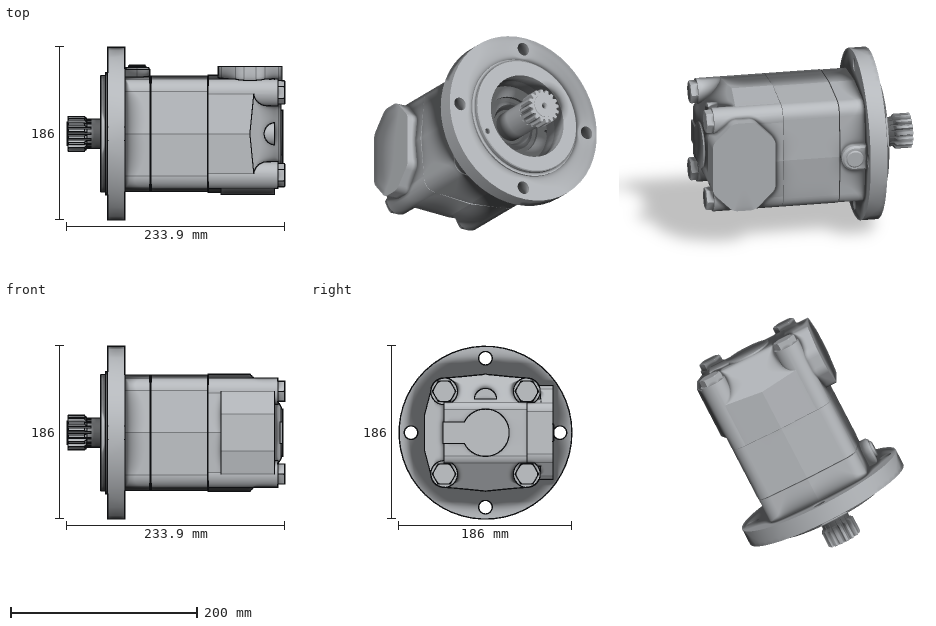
import cadquery as cq
import math


SHAFT_TIP = -43.5
SPLINE_START = -42.8
SPLINE_END = -25.0
SPLINE_CONE_END = -22.2
SPLINE_RUNOUT = -17.8
REGISTER_FACE = -8.0
RING_FACE = -2.0
FLANGE_BACK = 18.5
FRONT_END = 45.4
MIDDLE_START = 46.5
MIDDLE_END = 107.3
COVER_START = 107.8
PILLAR_END = 182.9
COVER_END = 186.4
CAP_END = 188.2
BOLT_END = 190.4

FLANGE_DIAMETER = 186.0
RING_RADIUS = 65.7
REGISTER_RADIUS = 62.7
REGISTER_CHAMFER = 1.0
MOUNT_HOLE_DIAMETER = 14.3
MOUNT_HOLE_CIRCLE = 80.0
MOUNT_HOLE_COUNT = 4
LOCATING_HOLE_DIAMETER = 6.0
LOCATING_HOLE_DEPTH = 4.7
REGISTER_HOLE_Y = 50.0
REGISTER_HOLE_Z = -27.8
FLOOR_HOLE_Y = -43.0

RECESS_RADIUS = 46.0
RECESS_FLOOR_RADIUS = 43.7
RECESS_STRAIGHT_DEPTH = 18.7
RECESS_DEPTH = 30.2
SEAL_SEAT_RADIUS = 31.8
SEAL_SEAT_DEPTH = 3.5
COLLAR_BASE_RADIUS = 27.4
COLLAR_RIM_RADIUS = 23.0
FUNNEL_RADIUS = 19.2
FUNNEL_DEPTH = 7.0

SHAFT_RADIUS = 16.0
TIP_RADIUS = 12.6
SPLINE_RADIUS = 19.0
SPLINE_CHAMFER = 0.7
SPLINE_COUNT = 16
SPLINE_ROOT_RADIUS = 15.2
SPLINE_GAP_TOP = 5.0
SPLINE_GAP_BOTTOM = 1.5
CENTRE_SINK_DIAMETER = 7.0
CENTRE_HOLE_DIAMETER = 3.0
CENTRE_SINK_DEPTH = 2.8
CENTRE_HOLE_DEPTH = 9.4

CORNER_OFFSET = 44.5
FRONT_CORNER_RADIUS = 14.0
PILLAR_DIAMETER = 28.8
CORNER_RADIUS = PILLAR_DIAMETER / 2
HOUSING_CREST = 62.2
COVER_CREST = 63.0
HOUSING_FLAT_HALF = 45.4
COVER_FLAT_HALF = 42.8
FRONT_SPIGOT_RADIUS = 54.3
REAR_SPIGOT_RADIUS = 51.5

DRAIN_X = 31.5
DRAIN_PAD_RADIUS = FRONT_END - DRAIN_X
DRAIN_PAD_TOP = 71.3
DRAIN_PAD_CHAMFER = 2.0
DRAIN_PLUG_DIAMETER = 19.0
DRAIN_PLUG_TOP = 73.7
DRAIN_PLUG_CHAMFER = 1.2

SLOPE_START = 152.7
END_ROUND_RADIUS = 10.5
PORT_START = 121.5
PORT_END = 179.4
PORT_FACE = 65.2
PORT_FACE_HALF = 19.9
END_HALF_WIDTH = 44.5
STUB_DIAMETER = 24.0
STUB_Z = 35.5
CAP_RADIUS = 25.5
CHANNEL_START = 185.0
CHANNEL_HALF_WIDTH = 11.7
CHANNEL_REACH = 45.5
BOSS_X = 153.0
BOSS_FACE = 72.5
BOSS_HALF_LENGTH = 34.4
BOSS_HALF_HEIGHT = 50.5
BOSS_BEVEL = 22.5
BOSS_ROUND_RADIUS = 13.0

BOLT_CORNER_DIAMETER = 25.3
BOLT_CHAMFER = 1.0

CORNERS = [(y, z) for y in (-CORNER_OFFSET, CORNER_OFFSET) for z in (-CORNER_OFFSET, CORNER_OFFSET)]


def yz_plane(x):
    """Sketch plane at station x; its local axes are Y and Z and it extrudes along +X."""
    return cq.Workplane("YZ", origin=(x, 0, 0))


def disc(x_start, x_end, radius):
    return yz_plane(x_start).circle(radius).extrude(x_end - x_start)


def revolved(points):
    """Solid of revolution about the X axis from (x, radius) points."""
    return cq.Workplane("XY").polyline(points).close().revolve(360, (0, 0, 0), (1, 0, 0))


def flat_edge_height(corner_radius, flat_half):
    """Distance from the axis at which a side's flat meets the rounded corner."""
    return CORNER_OFFSET + math.sqrt(corner_radius**2 - (flat_half - CORNER_OFFSET) ** 2)


def slab(x_start, x_end, crest, corner_radius, flat_half):
    """Octagonal core: each side has two flats that rise to a crest at its middle."""
    edge = flat_edge_height(corner_radius, flat_half)
    side = [(crest, 0), (edge, flat_half), (flat_half, edge)]
    outline = []
    for quarter in range(4):
        angle = math.radians(90 * quarter)
        for y, z in side:
            turned_y = y * math.cos(angle) - z * math.sin(angle)
            turned_z = y * math.sin(angle) + z * math.cos(angle)
            outline.append((turned_y, turned_z))
    return yz_plane(x_start).polyline(outline).close().extrude(x_end - x_start)


def pillars(x_start, x_end, radius):
    return yz_plane(x_start).pushPoints(CORNERS).circle(radius).extrude(x_end - x_start)


def rounded_section(x_start, x_end, corner_radius):
    core = slab(x_start, x_end, HOUSING_CREST, corner_radius, HOUSING_FLAT_HALF)
    return core.union(pillars(x_start, x_end, corner_radius))




def make_recess():
    """Recess with a tapered end, a seal seat and a raised collar that funnels in to the shaft."""
    floor = REGISTER_FACE + RECESS_DEPTH
    return revolved(
        [
            (REGISTER_FACE, 0),
            (REGISTER_FACE, RECESS_RADIUS),
            (REGISTER_FACE + RECESS_STRAIGHT_DEPTH, RECESS_RADIUS),
            (floor, RECESS_FLOOR_RADIUS),
            (floor, SEAL_SEAT_RADIUS),
            (floor + SEAL_SEAT_DEPTH, SEAL_SEAT_RADIUS),
            (floor + SEAL_SEAT_DEPTH, COLLAR_BASE_RADIUS),
            (floor, COLLAR_RIM_RADIUS),
            (floor + FUNNEL_DEPTH, FUNNEL_RADIUS),
            (floor + FUNNEL_DEPTH, 0),
        ]
    )


def make_drain_pad():
    """Pad with a round end that joins the flange, and a low plug on top of it."""
    base = cq.Workplane("XZ", origin=(DRAIN_X, 0, 0))
    pad = base.circle(DRAIN_PAD_RADIUS).extrude(-DRAIN_PAD_TOP)
    tail_length = DRAIN_X - FLANGE_BACK
    tail = base.center(-tail_length / 2, 0).rect(tail_length, 2 * DRAIN_PAD_RADIUS).extrude(-DRAIN_PAD_TOP)
    pad = pad.union(tail).faces(">Y").chamfer(DRAIN_PAD_CHAMFER)
    plug = base.circle(DRAIN_PLUG_DIAMETER / 2).extrude(-DRAIN_PLUG_TOP)
    plug = plug.faces(">Y").chamfer(DRAIN_PLUG_CHAMFER)
    return pad.union(plug)


def make_flange_housing():
    register = disc(REGISTER_FACE, 0, REGISTER_RADIUS).faces("<X").chamfer(REGISTER_CHAMFER)
    housing = (
        disc(0, FLANGE_BACK, FLANGE_DIAMETER / 2)
        .union(disc(RING_FACE, 0, RING_RADIUS))
        .union(register)
        .union(rounded_section(FLANGE_BACK, FRONT_END, FRONT_CORNER_RADIUS))
        .union(make_drain_pad())
        .cut(make_recess())
    )
    mount_holes = (
        yz_plane(0)
        .polarArray(MOUNT_HOLE_CIRCLE, 0, 360, MOUNT_HOLE_COUNT)
        .circle(MOUNT_HOLE_DIAMETER / 2)
        .extrude(FLANGE_BACK)
    )
    register_hole = (
        yz_plane(REGISTER_FACE)
        .center(REGISTER_HOLE_Y, REGISTER_HOLE_Z)
        .circle(LOCATING_HOLE_DIAMETER / 2)
        .extrude(LOCATING_HOLE_DEPTH)
    )
    floor_hole = (
        yz_plane(REGISTER_FACE + RECESS_DEPTH)
        .center(FLOOR_HOLE_Y, 0)
        .circle(LOCATING_HOLE_DIAMETER / 2)
        .extrude(LOCATING_HOLE_DEPTH)
    )
    return housing.cut(mount_holes).cut(register_hole).cut(floor_hole)


def make_spline_gaps():
    """V-shaped gaps between the spline teeth, with the first one at the top."""
    overlap = 2.3
    taper = (SPLINE_GAP_TOP - SPLINE_GAP_BOTTOM) / (SPLINE_RADIUS - SPLINE_ROOT_RADIUS)
    top_half = (SPLINE_GAP_TOP + taper * overlap) / 2
    bottom_half = SPLINE_GAP_BOTTOM / 2
    top = SPLINE_RADIUS + overlap
    gap = (
        yz_plane(SPLINE_START)
        .polyline(
            [
                (-bottom_half, SPLINE_ROOT_RADIUS),
                (bottom_half, SPLINE_ROOT_RADIUS),
                (top_half, top),
                (-top_half, top),
            ]
        )
        .close()
        .extrude(SPLINE_RUNOUT - SPLINE_START)
    )
    pitch = 360 / SPLINE_COUNT
    return [gap.rotate((0, 0, 0), (1, 0, 0), pitch * i) for i in range(SPLINE_COUNT)]


def make_shaft():
    shaft_root = REGISTER_FACE + RECESS_DEPTH + FUNNEL_DEPTH
    shaft = revolved(
        [
            (SHAFT_TIP, 0),
            (SHAFT_TIP, TIP_RADIUS),
            (SPLINE_START, TIP_RADIUS),
            (SPLINE_START, SPLINE_RADIUS - SPLINE_CHAMFER),
            (SPLINE_START + SPLINE_CHAMFER, SPLINE_RADIUS),
            (SPLINE_END, SPLINE_RADIUS),
            (SPLINE_CONE_END, SHAFT_RADIUS),
            (shaft_root, SHAFT_RADIUS),
            (shaft_root, 0),
        ]
    )
    for gap in make_spline_gaps():
        shaft = shaft.cut(gap)
    centre_hole = revolved(
        [
            (SHAFT_TIP, 0),
            (SHAFT_TIP, CENTRE_SINK_DIAMETER / 2),
            (SHAFT_TIP + CENTRE_SINK_DEPTH, CENTRE_HOLE_DIAMETER / 2),
            (SHAFT_TIP + CENTRE_HOLE_DEPTH, CENTRE_HOLE_DIAMETER / 2),
            (SHAFT_TIP + CENTRE_HOLE_DEPTH, 0),
        ]
    )
    return shaft.cut(centre_hole)


def make_output_end():
    return make_flange_housing().union(make_shaft())




def make_gear_ring():
    return (
        rounded_section(MIDDLE_START, MIDDLE_END, CORNER_RADIUS)
        .union(disc(FRONT_END, MIDDLE_START, FRONT_SPIGOT_RADIUS))
        .union(disc(MIDDLE_END, COVER_START, REAR_SPIGOT_RADIUS))
    )




def make_slope_limit():
    """XZ outline with 45 degree slopes toward the rear and rounded rear edges."""
    rear_half_height = COVER_CREST - (COVER_END - SLOPE_START)
    return (
        cq.Workplane("XZ")
        .polyline(
            [
                (COVER_START, -COVER_CREST),
                (SLOPE_START, -COVER_CREST),
                (COVER_END, -rear_half_height),
                (COVER_END, rear_half_height),
                (SLOPE_START, COVER_CREST),
                (COVER_START, COVER_CREST),
            ]
        )
        .close()
        .extrude(COVER_CREST, both=True)
        .edges("|Y and >X")
        .fillet(END_ROUND_RADIUS)
    )


def make_cover_core():
    core = slab(COVER_START, PORT_END, COVER_CREST, CORNER_RADIUS, COVER_FLAT_HALF)
    rear_length = COVER_END - PORT_END
    rear = yz_plane(PORT_END).rect(2 * END_HALF_WIDTH, 2 * COVER_CREST).extrude(rear_length)
    return core.union(rear).intersect(make_slope_limit())


def make_port_block():
    """Three-faceted block on the -Y side, level with the corner pillars at its edges."""
    edge = CORNER_OFFSET + CORNER_RADIUS
    outline = [
        (-CORNER_OFFSET, -CORNER_OFFSET),
        (-edge, -CORNER_OFFSET),
        (-PORT_FACE, -PORT_FACE_HALF),
        (-PORT_FACE, PORT_FACE_HALF),
        (-edge, CORNER_OFFSET),
        (-CORNER_OFFSET, CORNER_OFFSET),
    ]
    return yz_plane(PORT_START).polyline(outline).close().extrude(PORT_END - PORT_START)


def make_port_boss():
    """Bevelled, rounded boss on the +Y side."""
    return (
        cq.Workplane("XZ", origin=(BOSS_X, CORNER_OFFSET, 0))
        .rect(2 * BOSS_HALF_LENGTH, 2 * BOSS_HALF_HEIGHT)
        .extrude(CORNER_OFFSET - BOSS_FACE)
        .edges("|Y")
        .chamfer(BOSS_BEVEL)
        .edges("|Y")
        .fillet(BOSS_ROUND_RADIUS)
    )


def make_rear_cap():
    """Round cap on the rear face and the straight channel that runs from it to the -Y side."""
    cap = disc(COVER_END, CAP_END, CAP_RADIUS)
    channel = cq.Workplane("XY").box(
        CAP_END - CHANNEL_START,
        CHANNEL_REACH,
        2 * CHANNEL_HALF_WIDTH,
        centered=(False, False, True),
    )
    return cap.union(channel.translate((CHANNEL_START, -CHANNEL_REACH, 0)))


def make_rear_cover():
    stub = yz_plane(SLOPE_START).center(0, STUB_Z).circle(STUB_DIAMETER / 2).extrude(PORT_END - SLOPE_START)
    return (
        make_cover_core()
        .union(pillars(COVER_START, PILLAR_END, CORNER_RADIUS))
        .union(make_port_block())
        .union(make_port_boss())
        .union(stub)
        .union(make_rear_cap())
    )




def make_bolt_head(y, z):
    length = BOLT_END - PILLAR_END
    hexagon = yz_plane(PILLAR_END).center(y, z).polygon(6, BOLT_CORNER_DIAMETER).extrude(length)
    turned = (
        yz_plane(PILLAR_END)
        .center(y, z)
        .circle(BOLT_CORNER_DIAMETER / 2)
        .extrude(length)
        .faces(">X")
        .chamfer(BOLT_CHAMFER)
    )
    return hexagon.intersect(turned)


output_end = make_output_end()
gear_ring = make_gear_ring()
rear_cover = make_rear_cover()
bolt_heads = [make_bolt_head(y, z) for y, z in CORNERS]

result = cq.Compound.makeCompound(
    [output_end.val(), gear_ring.val(), rear_cover.val(), *[head.val() for head in bolt_heads]]
)